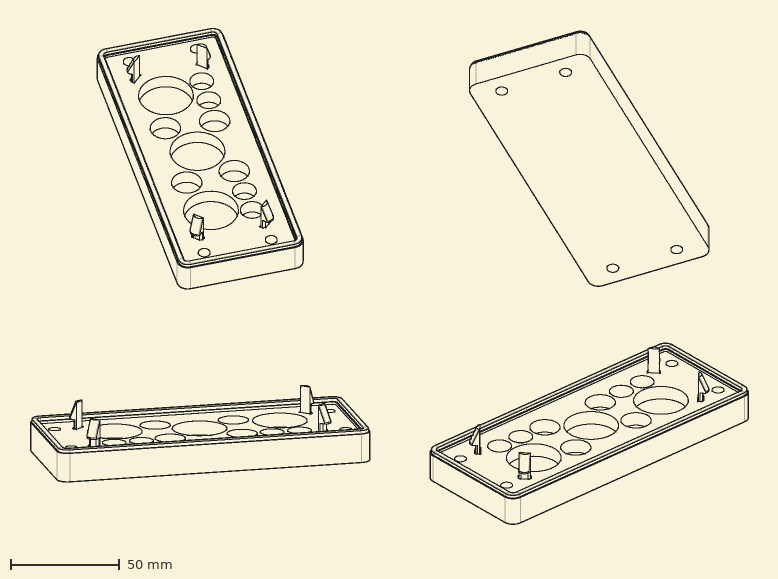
import cadquery as cq
import math

LENGTH = 148.0
WIDTH = 60.0
CORNER_RADIUS = 5.0
WALL = 3.5
WALL_TOP = 13.6
TRAY_FLOOR = 5.8

GASKET_INSET = 0.6
GASKET_WIDTH = 2.4
GASKET_SIDE_HEIGHT = 1.5
GASKET_CHAMFER = 0.22
GASKET_DOME_RISE = 0.3

INSERT_TOP = 12.5

SCREW_DIAMETER = 5.5
SCREW_X = 65.0
SCREW_Y = 16.0

LARGE_DIAMETER = 25.2
MEDIUM_DIAMETER = 13.9
SMALL_DIAMETER = 11.0
MIRRORED_POCKETS = [
    (SMALL_DIAMETER, 43.8, 12.7),
    (SMALL_DIAMETER, 31.0, 12.6),
    (MEDIUM_DIAMETER, 17.0, 11.5),
    (MEDIUM_DIAMETER, 18.5, -11.5),
    (LARGE_DIAMETER, 39.0, -5.6),
]
CENTRE_POCKET_Y = -1.3

CLIP_X = 53.5
CLIP_Y = 15.5
CLIP_WIDTH = 5.2
CLIP_TOP = 25.0
POST_DEPTH = 1.9
POST_CHAMFER = 1.0
HOOK_BOTTOM = 16.6
HOOK_LIP = 0.7
HOOK_REACH_BOTTOM = 4.7
HOOK_REACH_TOP = 1.5
NOSE_BULGE = 1.0
NOSE_CHAMFER = 0.37
POST_CLEARANCE = 0.5

CORNERS = [(sx, sy) for sx in (-1, 1) for sy in (-1, 1)]


def rounded_block(inset, bottom, top):
    """Block with the tray outline moved inward by inset."""
    return (
        cq.Workplane("XY", origin=(0, 0, bottom))
        .rect(LENGTH - 2 * inset, WIDTH - 2 * inset)
        .extrude(top - bottom)
        .edges("|Z")
        .fillet(CORNER_RADIUS - inset)
    )


def at_corner(shape, sx, sy):
    """Move a shape modelled along +X to a clip place, with +X turned outward."""
    outward_angle = math.degrees(math.atan2(sy, sx))
    return shape.rotate((0, 0, 0), (0, 0, 1), outward_angle).translate((sx * CLIP_X, sy * CLIP_Y, 0))


def post_prism(clearance, bottom, top):
    """Post section grown by clearance: flat back at x = 0, outer corners chamfered."""
    depth = POST_DEPTH + 2 * clearance
    return (
        cq.Workplane("XY", origin=(POST_DEPTH / 2, 0, bottom))
        .rect(depth, CLIP_WIDTH + 2 * clearance)
        .extrude(top - bottom)
        .edges("|Z and >X")
        .chamfer(POST_CHAMFER)
    )


def hook_section(reach, z):
    """Level section of the hook: straight sides, chamfered corners and a bulged nose at x = reach.

    It runs on behind the flat back, far enough for every level to be trimmed there.
    """
    half_width = CLIP_WIDTH / 2
    nose_start = reach - NOSE_BULGE
    side_end = nose_start - NOSE_CHAMFER
    tail = reach - 2 * HOOK_REACH_BOTTOM
    nose_half_width = half_width - NOSE_CHAMFER
    return (
        cq.Workplane("XY", origin=(0, 0, z))
        .moveTo(tail, -half_width)
        .lineTo(side_end, -half_width)
        .lineTo(nose_start, -nose_half_width)
        .threePointArc((reach, 0), (nose_start, nose_half_width))
        .lineTo(side_end, half_width)
        .lineTo(tail, half_width)
        .close()
    )


def make_hook():
    """Upright lip below a nose that slants back to the top, trimmed to the flat back at x = 0."""
    slant_bottom = HOOK_BOTTOM + HOOK_LIP
    lip = hook_section(HOOK_REACH_BOTTOM, HOOK_BOTTOM).extrude(HOOK_LIP)
    wide_end = hook_section(HOOK_REACH_BOTTOM, slant_bottom).wire().val()
    narrow_end = hook_section(HOOK_REACH_TOP, CLIP_TOP).wire().val()
    slant = cq.Workplane(cq.Solid.makeLoft([wide_end, narrow_end], True))
    front_space = cq.Workplane("XY", origin=(0, 0, HOOK_BOTTOM)).box(
        2 * HOOK_REACH_BOTTOM, 2 * CLIP_WIDTH, CLIP_TOP - HOOK_BOTTOM, centered=(False, True, False)
    )
    return lip.union(slant).intersect(front_space)


def screw_holes():
    return (
        cq.Workplane("XY")
        .pushPoints([(sx * SCREW_X, sy * SCREW_Y) for sx, sy in CORNERS])
        .circle(SCREW_DIAMETER / 2)
        .extrude(INSERT_TOP)
    )


def make_tray():
    tray = rounded_block(0, 0, WALL_TOP).cut(rounded_block(WALL, TRAY_FLOOR, WALL_TOP))
    clip = post_prism(0, TRAY_FLOOR, HOOK_BOTTOM).union(make_hook())
    for sx, sy in CORNERS:
        tray = tray.union(at_corner(clip, sx, sy))
    return tray.cut(screw_holes()).solids()


def make_insert():
    insert = rounded_block(WALL, TRAY_FLOOR, INSERT_TOP).cut(screw_holes())
    pockets = [(LARGE_DIAMETER, 0, CENTRE_POCKET_Y)]
    for diameter, x, y in MIRRORED_POCKETS:
        pockets += [(diameter, -x, y), (diameter, x, y)]
    for diameter, x, y in pockets:
        pocket = cq.Workplane("XY", origin=(x, y, TRAY_FLOOR)).circle(diameter / 2).extrude(INSERT_TOP)
        insert = insert.cut(pocket)
    post_hole = post_prism(POST_CLEARANCE, TRAY_FLOOR, INSERT_TOP)
    for sx, sy in CORNERS:
        insert = insert.cut(at_corner(post_hole, sx, sy))
    return insert.solids()


def make_gasket():
    """Domed section swept along the tray outline."""
    side_top = WALL_TOP + GASKET_SIDE_HEIGHT
    centre_inset = GASKET_INSET + GASKET_WIDTH / 2
    path = rounded_block(centre_inset, WALL_TOP, side_top).faces("<Z").wires().val()
    dome_start = side_top + GASKET_CHAMFER
    outer_y = GASKET_INSET - WIDTH / 2
    inner_y = outer_y + GASKET_WIDTH
    section = (
        cq.Workplane("YZ")
        .moveTo(outer_y, WALL_TOP)
        .lineTo(outer_y, side_top)
        .lineTo(outer_y + GASKET_CHAMFER, dome_start)
        .threePointArc(
            (outer_y + GASKET_WIDTH / 2, dome_start + GASKET_DOME_RISE),
            (inner_y - GASKET_CHAMFER, dome_start),
        )
        .lineTo(inner_y, side_top)
        .lineTo(inner_y, WALL_TOP)
        .close()
    )
    return section.sweep(cq.Workplane(path), transition="round")


tray = make_tray()
insert = make_insert()
gasket = make_gasket()

result = cq.Compound.makeCompound([tray.val(), insert.val(), gasket.val()])